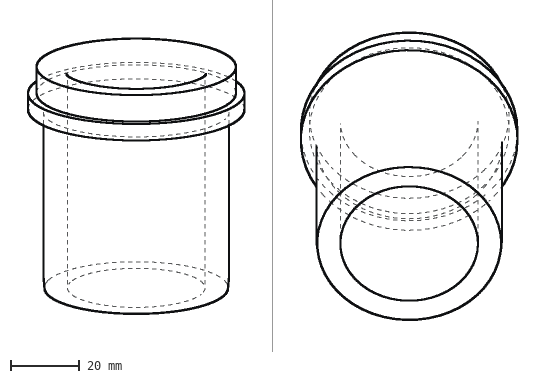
import cadquery as cq
import math

total_height = 67.0
collar_height = 8.0
flange_height = 5.0

collar_diameter = 58.0
flange_diameter = 63.0
body_diameter = 54.0
bore_diameter = 40.0

mouth_radius = 3.0
neck_fillet_radius = 1.0
lead_in_height = 3.0
lead_in_angle = 5.0

flange_top = total_height - collar_height
flange_bottom = flange_top - flange_height
lead_in_depth = lead_in_height * math.tan(math.radians(lead_in_angle))

collar_radius = collar_diameter / 2
flange_radius = flange_diameter / 2
body_radius = body_diameter / 2
bore_radius = bore_diameter / 2


def make_bushing():
    """Revolve the half section (radius, height) of the bushing about Z."""
    section = (
        cq.Workplane("XZ")
        .moveTo(bore_radius, 0)
        .lineTo(body_radius - lead_in_depth, 0)
        .lineTo(body_radius, lead_in_height)
        .lineTo(body_radius, flange_bottom - neck_fillet_radius)
        .radiusArc((body_radius + neck_fillet_radius, flange_bottom), neck_fillet_radius)
        .lineTo(flange_radius, flange_bottom)
        .lineTo(flange_radius, flange_top)
        .lineTo(collar_radius, flange_top)
        .lineTo(collar_radius, total_height)
        .lineTo(bore_radius + mouth_radius, total_height)
        .radiusArc((bore_radius, total_height - mouth_radius), -mouth_radius)
        .close()
    )
    return section.revolve(360, (0, 0), (0, 1))


result = make_bushing()